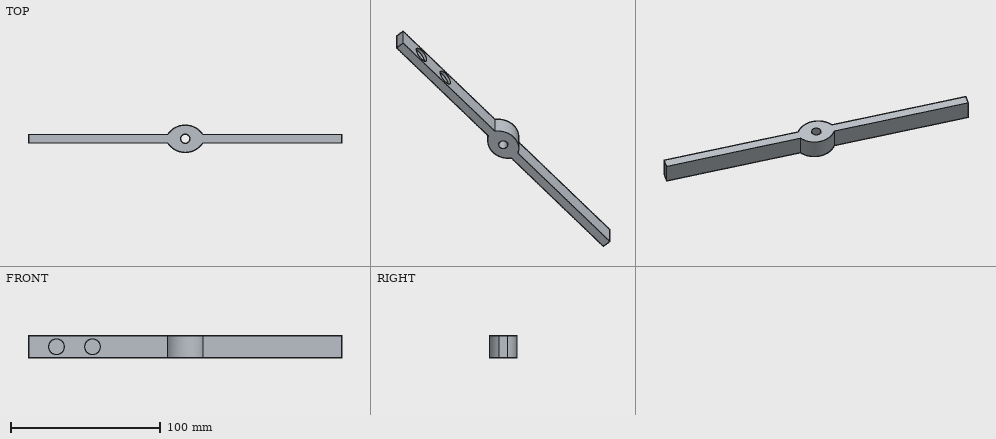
import cadquery as cq

length = 210.0
height = 15.0
arm_thickness = 5.9

hub_length = 23.5
hub_width = 18.5
bore_diameter = 6.0

pocket_diameter = 10.5
pocket_depth = 2.0
first_pocket_from_end = 18.7
pocket_spacing = 24.2
pocket_count = 2


def make_bar():
    """Straight bar that forms both arms."""
    return cq.Workplane("XY").box(length, arm_thickness, height)


def make_hub():
    """Lens-like boss, as tall as the bar, whose arcs meet the arm faces."""
    end_x = hub_length / 2
    face_y = arm_thickness / 2
    crown_y = hub_width / 2
    return (
        cq.Workplane("XY", origin=(0, 0, -height / 2))
        .moveTo(-end_x, face_y)
        .threePointArc((0, crown_y), (end_x, face_y))
        .lineTo(end_x, -face_y)
        .threePointArc((0, -crown_y), (-end_x, -face_y))
        .close()
        .extrude(height)
    )


def make_bore():
    """Vertical hole through the hub."""
    return cq.Workplane("XY").circle(bore_diameter / 2).extrude(height, both=True)


def make_pockets():
    """Row of round pockets sunk from the -Y face towards +Y."""
    first_x = -length / 2 + first_pocket_from_end
    centres = [(first_x + i * pocket_spacing, 0) for i in range(pocket_count)]
    return (
        cq.Workplane("XZ", origin=(0, -arm_thickness / 2, 0))
        .pushPoints(centres)
        .circle(pocket_diameter / 2)
        .extrude(-pocket_depth)
    )


result = make_bar().union(make_hub()).cut(make_bore()).cut(make_pockets())